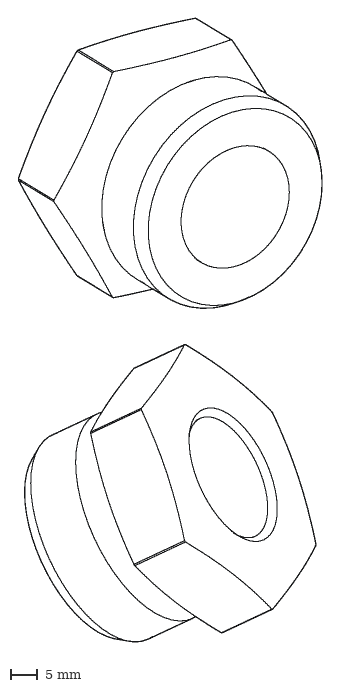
import cadquery as cq
import math

total_length = 34.0
hex_length = 14.05
across_flats = 46.0
corner_diameter = 52.95
hex_face_diameter = 45.0
hex_chamfer_angle = 15.0

collar_diameter = 42.0
groove_diameter = 38.9
groove_corner_x = 18.1
groove_fillet = 1.2
collar_cone_angle = 30.0

bore_diameter = 24.2
bore_mouth_diameter = 26.75
bore_chamfer_angle = 45.0

hex_chamfer_length = (corner_diameter - hex_face_diameter) / 2 * math.tan(math.radians(hex_chamfer_angle))
cone_length = (collar_diameter - groove_diameter) / 2 / math.tan(math.radians(collar_cone_angle))
bore_chamfer_length = (bore_mouth_diameter - bore_diameter) / 2 / math.tan(math.radians(bore_chamfer_angle))


def revolve_about_x(outline):
    """Revolve a closed XY outline a full turn about the X axis."""
    return outline.close().revolve(360, (0, 0, 0), (1, 0, 0))


def hexagon():
    """Hexagonal head with corners along Y, chamfered conically on both faces."""
    prism_diameter = across_flats / math.cos(math.pi / 6)
    prism = cq.Workplane("YZ").polygon(6, prism_diameter).extrude(hex_length)
    turned_envelope = revolve_about_x(
        cq.Workplane("XY")
        .lineTo(0, hex_face_diameter / 2)
        .lineTo(hex_chamfer_length, corner_diameter / 2)
        .lineTo(hex_length - hex_chamfer_length, corner_diameter / 2)
        .lineTo(hex_length, hex_face_diameter / 2)
        .lineTo(hex_length, 0)
    )
    return prism.intersect(turned_envelope)


def collar():
    """Collar with coned ends, joined to the head by a rounded groove."""
    groove_radius = groove_diameter / 2
    collar_radius = collar_diameter / 2
    fillet_center_y = groove_radius + groove_fillet
    cone_angle = math.radians(collar_cone_angle)

    head_fillet_end_x = hex_length + groove_fillet
    head_fillet_mid_x = head_fillet_end_x - groove_fillet * math.sin(math.pi / 4)
    head_fillet_mid_y = fillet_center_y - groove_fillet * math.cos(math.pi / 4)

    cone_fillet_start_x = groove_corner_x - groove_fillet * math.tan(cone_angle / 2)

    def cone_fillet_point(angle):
        return (
            cone_fillet_start_x + groove_fillet * math.sin(angle),
            fillet_center_y - groove_fillet * math.cos(angle),
        )

    return revolve_about_x(
        cq.Workplane("XY")
        .moveTo(hex_length, 0)
        .lineTo(hex_length, fillet_center_y)
        .threePointArc((head_fillet_mid_x, head_fillet_mid_y), (head_fillet_end_x, groove_radius))
        .lineTo(cone_fillet_start_x, groove_radius)
        .threePointArc(cone_fillet_point(cone_angle / 2), cone_fillet_point(cone_angle))
        .lineTo(groove_corner_x + cone_length, collar_radius)
        .lineTo(total_length - cone_length, collar_radius)
        .lineTo(total_length, groove_radius)
        .lineTo(total_length, 0)
    )


def bore():
    """Through bore with a chamfered mouth in the hexagon's face."""
    return revolve_about_x(
        cq.Workplane("XY")
        .lineTo(0, bore_mouth_diameter / 2)
        .lineTo(bore_chamfer_length, bore_diameter / 2)
        .lineTo(total_length, bore_diameter / 2)
        .lineTo(total_length, 0)
    )


result = hexagon().union(collar()).cut(bore())